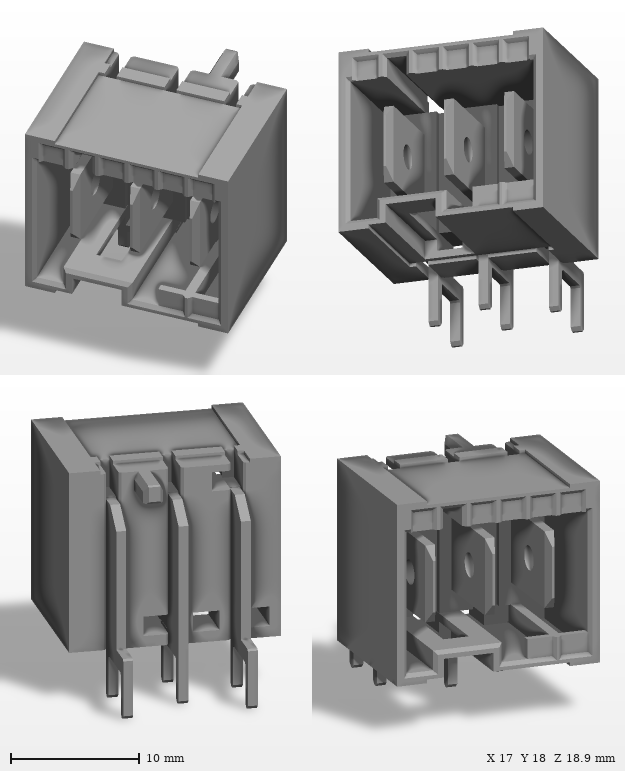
import cadquery as cq

width = 17.0
depth = 12.8
height = 14.9
lip = 0.3
cavity_half_width = 7.6
cavity_floor = 0.9
cavity_roof = 12.45
wall_front = 9.55
relief = 0.3
relief_half_width = 6.0
rear_step_start = 10.8

key_center = -2.5
key_half_width = 2.88
key_top = 2.51
key_groove_half_width = 2.06
key_groove_top = 1.83
key_slot_start = 2.7
window_width = 2.13
rib_x = 5.0
rib_width = 0.8
bar_left = 2.54
bar_thickness = 0.6

recess_count = 6
recess_pitch = 2.5
recess_width = 2.2
recess_top = 14.33
open_recess = 1

contact_pitch = 5.0
contact_thickness = 0.8
contact_slot_width = 1.0
slot_mouth_chamfer = 0.2
contact_stem_front = 11.8
contact_rear = 15.65
contact_top = 12.3
stem_corner = 0.15
shoulder_run = 2.05
shoulder_drop = 1.5
pad_width = 2.8
pad_thickness = 0.5
blade_bottom = 4.34
blade_top = 10.64
blade_tip = 1.0
blade_taper = 0.9
tip_width = 0.2
tip_inset_z = 1.04
blade_hole_diameter = 2.0
blade_hole_y = 5.2
foot_top = 1.0
foot_bottom = -0.38
foot_corner = 0.15
leg_bottom = -4.0
leg_width = 0.85
leg_point = 0.3
foot_pitch = 5.0
outer_foot_rear = 18.0
inner_foot_rear = contact_rear

peg_x = 2.5
peg_width = 1.6
peg_bottom = 13.07
peg_length = 3.6
peg_edge_x = 0.33
peg_edge_z = 0.6
peg_tip_chamfer = 0.55
peg_tip_bevel = 0.22
peg_tip_drop = 0.08

contact_positions = [-contact_pitch, 0.0, contact_pitch]
pad_front = wall_front - pad_thickness
relief_level = height - relief


def box(x_range, y_range, z_range):
    """Axis-aligned box from (low, high) pairs."""
    size = [high - low for low, high in (x_range, y_range, z_range)]
    corner = (x_range[0], y_range[0], z_range[0])
    return cq.Workplane("XY").box(*size, centered=False).translate(corner)


def centered_range(center, size):
    return (center - size / 2, center + size / 2)


def prism_along_y(points, start, end):
    """Extrude an XZ outline between two Y positions."""
    plane = cq.Workplane("XZ", origin=(0, start, 0))
    return plane.polyline(points).close().extrude(start - end)


def prism_along_x(points, x_range):
    """Extrude a YZ outline between two X positions."""
    plane = cq.Workplane("YZ", origin=(x_range[0], 0, 0))
    return plane.polyline(points).close().extrude(x_range[1] - x_range[0])


def flared_mouth(front_points, back_points):
    """Lead-in between a front outline and the smaller outline one lip depth behind it."""
    front = cq.Workplane("XZ").polyline(front_points).close()
    return front.workplane(offset=-lip).polyline(back_points).close().loft(ruled=True)


def cavity_outline(grow):
    """Cavity cross-section over key and rib; grow widens it towards the mating face."""
    side = cavity_half_width + grow
    floor = cavity_floor - grow
    roof = cavity_roof + grow
    rib_half = rib_width / 2 - grow
    key_half = key_half_width - grow
    ridge_top = key_top - grow
    return [
        (-side, floor),
        (key_center - key_half, floor),
        (key_center - key_half, ridge_top),
        (key_center + key_half, ridge_top),
        (key_center + key_half, floor),
        (rib_x - rib_half, floor),
        (rib_x - rib_half, key_top),
        (rib_x + rib_half, key_top),
        (rib_x + rib_half, floor),
        (side, floor),
        (side, roof),
        (-side, roof),
    ]


def recess_outline(center, inset):
    half = recess_width / 2 - inset
    top = recess_top - inset
    return [
        (center - half, cavity_roof - lip),
        (center + half, cavity_roof - lip),
        (center + half, top),
        (center - half, top),
    ]


def cut_front_openings(body):
    body = body.cut(prism_along_y(cavity_outline(0), lip, wall_front))
    body = body.cut(flared_mouth(cavity_outline(lip), cavity_outline(0)))
    row_half_width = (recess_count - 1) * recess_pitch / 2 + recess_width / 2
    roof_edge = box((-row_half_width, row_half_width), (0, lip), (cavity_roof, cavity_roof + lip))
    body = body.union(roof_edge)
    first_center = -(recess_count - 1) * recess_pitch / 2
    for index in range(recess_count):
        center = first_center + index * recess_pitch
        inner = recess_outline(center, lip)
        body = body.cut(flared_mouth(recess_outline(center, 0), inner))
        if index == open_recess:
            passage_width = recess_width - 2 * lip
            passage = box(centered_range(center, passage_width), (lip, depth),
                          (cavity_roof, recess_top - lip))
            body = body.cut(passage)
    return body


def cut_outer_steps(body):
    across = (-relief_half_width, relief_half_width)
    body = body.cut(box(across, (0, wall_front), (relief_level, height)))
    body = body.cut(box(across, (rear_step_start, depth), (relief_level, height)))
    return body.cut(box(across, (0, wall_front), (0, relief)))


def cut_key_and_windows(body):
    groove = box(centered_range(key_center, 2 * key_groove_half_width), (0, pad_front),
                 (0, key_groove_top))
    floor_slot = box(centered_range(key_center, window_width), (key_slot_start, wall_front),
                     (key_groove_top, key_top))
    body = body.cut(groove).cut(floor_slot)
    key_left = key_center - key_half_width
    key_right = key_center + key_half_width
    window_ranges = [
        (-cavity_half_width, key_left),
        centered_range(key_center, window_width),
        (key_right, bar_left),
    ]
    for x_range in window_ranges:
        body = body.cut(box(x_range, (pad_front, depth), (cavity_floor, key_top)))
    return body


def cut_contact_slot(body, x):
    slot = centered_range(x, contact_slot_width)
    body = body.cut(box(slot, (contact_stem_front, depth), (0, height)))
    body = body.cut(box(slot, (wall_front, depth), (contact_top, height)))
    body = body.cut(box(slot, (wall_front, depth), (0, foot_top)))
    half = contact_slot_width / 2
    mouth = [
        (x - half - slot_mouth_chamfer, depth),
        (x - half, depth - slot_mouth_chamfer),
        (x + half, depth - slot_mouth_chamfer),
        (x + half + slot_mouth_chamfer, depth),
    ]
    return body.cut(cq.Workplane("XY").polyline(mouth).close().extrude(height))


def make_housing():
    body = box((-width / 2, width / 2), (0, depth), (0, height))
    body = cut_front_openings(body)
    body = cut_outer_steps(body)
    body = cut_key_and_windows(body)
    bar = box((bar_left, cavity_half_width), (lip, lip + bar_thickness), (cavity_floor, key_top))
    body = body.union(bar)
    for x in contact_positions:
        pad = box(centered_range(x, pad_width), (pad_front, wall_front), (key_top, cavity_roof))
        body = cut_contact_slot(body.union(pad), x)
    return body


def make_blade():
    """Blade along Y with a four-sided taper at its tip and a cross hole."""
    shank_start = blade_tip + blade_taper
    blade_height = blade_top - blade_bottom
    middle = (blade_top + blade_bottom) / 2
    thickness = centered_range(0, contact_thickness)
    shank = box(thickness, (shank_start, contact_stem_front), (blade_bottom, blade_top))
    tip = (
        cq.Workplane("XZ", origin=(0, shank_start, middle))
        .rect(contact_thickness, blade_height)
        .workplane(offset=blade_taper)
        .rect(tip_width, blade_height - 2 * tip_inset_z)
        .loft(ruled=True)
    )
    hole = (
        cq.Workplane("YZ", origin=(thickness[0], blade_hole_y, middle))
        .circle(blade_hole_diameter / 2)
        .extrude(contact_thickness)
    )
    return shank.union(tip).cut(hole)


def make_leg(rear):
    front = rear - leg_width
    points = [
        (front, foot_top),
        (front, leg_bottom + leg_point),
        (front + leg_point, leg_bottom),
        (rear - leg_point, leg_bottom),
        (rear, leg_bottom + leg_point),
        (rear, foot_top),
    ]
    return prism_along_x(points, centered_range(0, contact_thickness))


def make_contact(foot_rear):
    """Contact centred on X = 0; a foot reaching past the stem has a bevelled rear corner."""
    thickness = centered_range(0, contact_thickness)
    stem_points = [
        (contact_stem_front, foot_top),
        (contact_rear, foot_top),
        (contact_rear, contact_top - shoulder_drop),
        (contact_rear - shoulder_run, contact_top),
        (contact_stem_front + stem_corner, contact_top),
        (contact_stem_front, contact_top - stem_corner),
    ]
    foot_front = foot_rear - foot_pitch - leg_width
    foot = box(thickness, (foot_front, foot_rear), (foot_bottom, foot_top))
    for leg_rear in (foot_rear, foot_rear - foot_pitch):
        foot = foot.union(make_leg(leg_rear))
    if foot_rear > contact_rear:
        foot = foot.edges("|X and >Y and >Z").chamfer(foot_corner)
    contact = foot.union(prism_along_x(stem_points, thickness))
    for corner_y, direction in ((foot_rear - foot_pitch, 1), (foot_rear - leg_width, -1)):
        gusset = [
            (corner_y, foot_bottom),
            (corner_y, foot_bottom - foot_corner),
            (corner_y + direction * foot_corner, foot_bottom),
        ]
        contact = contact.union(prism_along_x(gusset, thickness))
    return contact.union(make_blade())


def make_peg():
    """Peg with bevelled upper edges and a tip narrowed in plan and in profile."""
    half = peg_width / 2
    flat_half = half - peg_edge_x
    tip = depth + peg_length
    section = [
        (peg_x - half, peg_bottom),
        (peg_x + half, peg_bottom),
        (peg_x + half, relief_level - peg_edge_z),
        (peg_x + flat_half, relief_level),
        (peg_x - flat_half, relief_level),
        (peg_x - half, relief_level - peg_edge_z),
    ]
    plan = [
        (peg_x - half, depth),
        (peg_x + half, depth),
        (peg_x + half, tip - peg_tip_chamfer),
        (peg_x + flat_half, tip),
        (peg_x - flat_half, tip),
        (peg_x - half, tip - peg_tip_chamfer),
    ]
    profile = [
        (depth, peg_bottom),
        (tip - peg_tip_bevel, peg_bottom),
        (tip, peg_bottom + peg_tip_bevel),
        (tip, relief_level - peg_tip_drop),
        (tip - peg_tip_bevel, relief_level),
        (depth, relief_level),
    ]
    peg = prism_along_y(section, depth, tip)
    peg = peg.intersect(cq.Workplane("XY").polyline(plan).close().extrude(height))
    return peg.intersect(prism_along_x(profile, centered_range(peg_x, peg_width)))


result = make_housing().union(make_peg())
for x in contact_positions:
    foot_rear = inner_foot_rear if x == 0 else outer_foot_rear
    result = result.union(make_contact(foot_rear).translate((x, 0, 0)))